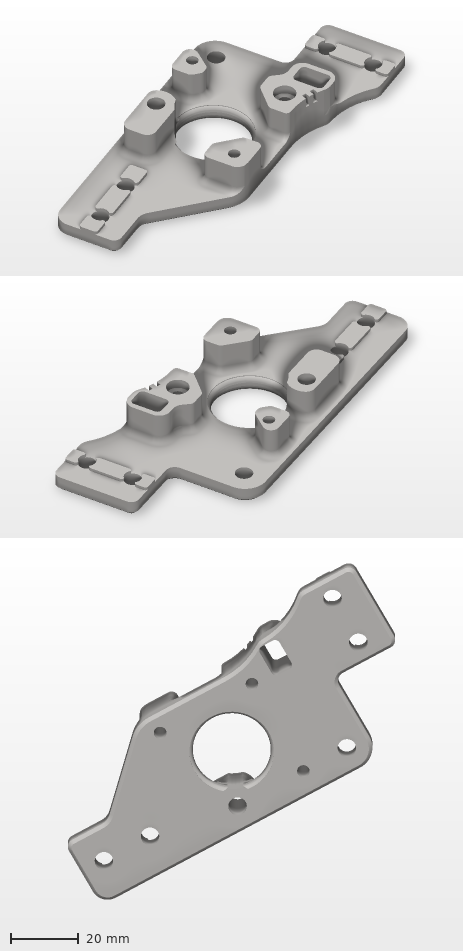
import cadquery as cq
import math

plate_thickness = 5.0
boss_top = 15.0
rib_height = 1.0
bottom_chamfer = 1.0
skirt_radius = 2.1

selection_margin = 0.01

plate_length = 116.0
plate_width = 56.0
plate_left = -23.0
plate_right = plate_left + plate_width
plate_bottom = -57.0
plate_top = plate_bottom + plate_length
shoulder_y = 37.5
body_right = 21.0
top_tab_width = 28.0
top_tab_left = plate_right - top_tab_width
bottom_tab_width = 21.9
bottom_tab_right = plate_left + bottom_tab_width
diagonal_end_y = -20.4
diagonal_start_y = diagonal_end_y - (body_right - bottom_tab_right)

edge_arc_radius = 24.0
lower_arc_start_y = 9.2
bulge_right = 25.8
upper_arc_start_y = 23.9
bulge_corner_radius = 5.0

bottom_left_radius = 5.0
shoulder_radius = 7.0
inner_corner_radius = 3.0
tab_tip_radius = 2.5
diagonal_inner_radius = 5.0
diagonal_outer_radius = 10.0
elbow_radius = 4.0

bore_diameter = 23.0
bore_rim_diameter = 24.9
bore_rim_depth = 0.2
bore_flare_radius = 2.0
screw_pitch = 31.0
screw_offset = screw_pitch / 2
screw_diameter = 3.7
screw_head_diameter = 7.0
screw_head_depth = 3.0

bolt_diameter = 5.5
bolt_pitch = 15.5
corner_bolt = (-screw_offset, 30.2)
boss_bolt = (-screw_offset, -6.7)
top_bolts_x = 11.4
top_bolts_y = 49.1
bottom_bolts_x = -11.0
bottom_bolts_y = -49.3

top_rib_width = 5.6
bottom_rib_width = 6.0
bottom_rib_end_y = -25.3
rib_gap = 3.7
rib_corner_radius = 0.9

left_boss_x = -19.8
motor_boss_inner = 7.7
low_boss_bottom = -20.8
motor_boss_diagonal = 22.2
boss_corner_radius = 2.0
low_boss_edge_radius = 3.5
left_post_bottom = 9.4
left_post_right = -10.1
left_post_peak = 22.7
left_post_slope_y = 14.7
left_post_round = 2.5
long_boss_radius = 6.0
long_boss_bottom = low_boss_bottom
long_boss_corner_radius = 3.0
pocket_boss_left = 11.6
pocket_boss_top = 30.5
pocket_boss_radius = 3.7
pocket_boss_edge_radius = 1.4
pocket_step_y = 23.2
pocket_step_start_y = 20.1

pocket_length = 10.1
pocket_width = 6.6
pocket_center = (19.1, 25.5)
pocket_corner_radius = 1.5

notch_width = 1.4
notch_length = 2.8
notch_depth = 3.4
notch_places = [(23.1, 20.0), (22.0, 17.2)]
notch_angle = -22


def arc_offset(rise):
    """Sideways travel of an edge arc after climbing from its upright tangent."""
    return edge_arc_radius - math.sqrt(edge_arc_radius**2 - rise**2)


def arc_rise(offset):
    """Climb of an edge arc that gives a sideways travel."""
    return math.sqrt(edge_arc_radius**2 - (edge_arc_radius - offset) ** 2)


def round_corner(body, point, radius):
    """Round the upright edge nearest to a corner point."""
    height = body.val().BoundingBox().center.z
    place = (point[0], point[1], height)
    return body.edges("|Z").edges(cq.NearestToPointSelector(place)).fillet(radius)


def rounded_prism(corners, height):
    """Upright prism from (x, y, corner radius) entries; radius 0 stays sharp."""
    points = [(x, y) for x, y, _ in corners]
    body = cq.Workplane("XY").polyline(points).close().extrude(height)
    for x, y, radius in corners:
        if radius:
            body = round_corner(body, (x, y), radius)
    return body


def plate_prism(height):
    """Full plate outline, extruded from the underside."""
    bulge_y = lower_arc_start_y + arc_rise(bulge_right - body_right)
    lower_mid_y = (lower_arc_start_y + bulge_y) / 2
    lower_mid_x = body_right + arc_offset(lower_mid_y - lower_arc_start_y)
    upper_end_y = upper_arc_start_y + arc_rise(plate_right - bulge_right)
    upper_mid_y = (upper_arc_start_y + upper_end_y) / 2
    upper_mid_x = bulge_right + arc_offset(upper_mid_y - upper_arc_start_y)
    body = (
        cq.Workplane("XY")
        .moveTo(plate_left, plate_bottom)
        .lineTo(bottom_tab_right, plate_bottom)
        .lineTo(bottom_tab_right, diagonal_start_y)
        .lineTo(body_right, diagonal_end_y)
        .lineTo(body_right, lower_arc_start_y)
        .threePointArc((lower_mid_x, lower_mid_y), (bulge_right, bulge_y))
        .threePointArc((upper_mid_x, upper_mid_y), (plate_right, upper_end_y))
        .lineTo(plate_right, plate_top)
        .lineTo(top_tab_left, plate_top)
        .lineTo(top_tab_left, shoulder_y)
        .lineTo(plate_left, shoulder_y)
        .close()
        .extrude(height)
    )
    roundings = [
        ((plate_left, plate_bottom), bottom_left_radius),
        ((bottom_tab_right, diagonal_start_y), diagonal_inner_radius),
        ((body_right, diagonal_end_y), diagonal_outer_radius),
        ((bulge_right, bulge_y), bulge_corner_radius),
        ((plate_right, upper_end_y), elbow_radius),
        ((bottom_tab_right, plate_bottom), tab_tip_radius),
        ((plate_right, plate_top), tab_tip_radius),
        ((top_tab_left, plate_top), tab_tip_radius),
        ((top_tab_left, shoulder_y), inner_corner_radius),
        ((plate_left, shoulder_y), shoulder_radius),
    ]
    for point, radius in roundings:
        body = round_corner(body, point, radius)
    return body.faces("<Z").chamfer(bottom_chamfer)


def left_post():
    """Five-sided post around the upper left motor screw."""
    corner_y = motor_boss_diagonal + left_post_right
    return rounded_prism(
        [
            (left_boss_x, left_post_bottom, boss_corner_radius),
            (left_post_bottom - motor_boss_diagonal, left_post_bottom, boss_corner_radius),
            (left_post_right, corner_y, boss_corner_radius),
            (left_post_right, left_post_slope_y, boss_corner_radius),
            (left_boss_x, left_post_peak, left_post_round),
        ],
        boss_top,
    )


def long_boss():
    """Lower left boss with a round end about its bolt."""
    bolt_x, bolt_y = boss_bolt
    right = bolt_x + long_boss_radius
    crown = bolt_y + long_boss_radius
    reach = bolt_x - left_boss_x
    meet_y = bolt_y + math.sqrt(long_boss_radius**2 - reach**2)
    body = (
        cq.Workplane("XY")
        .moveTo(left_boss_x, long_boss_bottom)
        .lineTo(right, long_boss_bottom)
        .lineTo(right, bolt_y)
        .threePointArc((bolt_x, crown), (left_boss_x, meet_y))
        .close()
        .extrude(boss_top)
    )
    corners = [(left_boss_x, long_boss_bottom), (right, long_boss_bottom), (left_boss_x, meet_y)]
    for point in corners:
        body = round_corner(body, point, long_boss_corner_radius)
    return body


def low_right_boss():
    """Lower right motor boss, flush with the right edge."""
    diagonal_reach = motor_boss_diagonal - motor_boss_inner
    return rounded_prism(
        [
            (motor_boss_inner, low_boss_bottom, boss_corner_radius),
            (body_right, low_boss_bottom, low_boss_edge_radius),
            (body_right, -motor_boss_inner, boss_corner_radius),
            (diagonal_reach, -motor_boss_inner, boss_corner_radius),
            (motor_boss_inner, -diagonal_reach, boss_corner_radius),
        ],
        boss_top,
    )


def pocket_boss():
    """Upper right boss holding a motor screw and the pocket."""
    diagonal_reach = motor_boss_diagonal - motor_boss_inner
    side_reach = bulge_right - body_right
    return rounded_prism(
        [
            (diagonal_reach, motor_boss_inner, boss_corner_radius),
            (body_right, motor_boss_inner, pocket_boss_edge_radius),
            (body_right, lower_arc_start_y, 0),
            (bulge_right, lower_arc_start_y + side_reach, 0),
            (bulge_right, pocket_boss_top, pocket_boss_radius),
            (pocket_boss_left, pocket_boss_top, pocket_boss_radius),
            (pocket_boss_left, pocket_step_y, pocket_boss_radius),
            (motor_boss_inner, pocket_step_start_y, boss_corner_radius),
            (motor_boss_inner, diagonal_reach, boss_corner_radius),
        ],
        boss_top,
    )


def add_boss(plate, boss):
    """Join a boss with a curved skirt, kept within the plate outline."""
    slab = cq.Workplane("XY").box(
        2 * plate_length, 2 * plate_length, plate_thickness, centered=(True, True, False)
    )
    foot = cq.selectors.BoxSelector(
        (-plate_length / 2, -plate_length / 2, plate_thickness - selection_margin),
        (plate_length / 2, plate_length / 2, plate_thickness + selection_margin),
    )
    skirted = slab.union(boss).edges(foot).fillet(skirt_radius)
    return plate.union(skirted.intersect(plate_prism(boss_top)))


def rib_segment(length, width):
    """Low rib with rounded ends, lying along X and starting at X = 0."""
    return (
        cq.Workplane("XY")
        .box(length, width, rib_height, centered=(False, True, False))
        .edges("|Z")
        .fillet(rib_corner_radius)
    )


def rib_line(start, first_bolt, end, width):
    """Three rib segments along X, parted at two bolts."""
    second_bolt = first_bolt + bolt_pitch
    half_gap = rib_gap / 2
    spans = [
        (start, first_bolt - half_gap),
        (first_bolt + half_gap, second_bolt - half_gap),
        (second_bolt + half_gap, end),
    ]
    ribs = cq.Workplane("XY")
    for near, far in spans:
        ribs = ribs.add(rib_segment(far - near, width).translate((near, 0, 0)))
    return ribs.combine()


def drill(body, places, diameter):
    """Drill straight through the part."""
    tool = cq.Workplane("XY").pushPoints(places).circle(diameter / 2).extrude(boss_top)
    return body.cut(tool)


def flared_bore():
    """Bore that widens along an arc to a short rim at both faces of the plate."""
    bore = bore_diameter / 2
    rim = bore_rim_diameter / 2
    flare_width = rim - bore
    flare_angle = math.acos(1 - flare_width / bore_flare_radius)
    flare_height = bore_flare_radius * math.sin(flare_angle)
    middle_width = bore_flare_radius * (1 - math.cos(flare_angle / 2))
    middle_height = bore_flare_radius * math.sin(flare_angle / 2)
    low_rim = bore_rim_depth
    low_neck = low_rim + flare_height
    high_rim = plate_thickness - low_rim
    high_neck = plate_thickness - low_neck
    return (
        cq.Workplane("XZ")
        .lineTo(rim, 0)
        .lineTo(rim, low_rim)
        .threePointArc((bore + middle_width, low_neck - middle_height), (bore, low_neck))
        .lineTo(bore, high_neck)
        .threePointArc((bore + middle_width, high_neck + middle_height), (rim, high_rim))
        .lineTo(rim, plate_thickness)
        .lineTo(0, plate_thickness)
        .close()
        .revolve(360, (0, 0, 0), (0, 1, 0))
    )


def top_pocket_cuts():
    """Screw head recess, pocket and notches of the upper right boss."""
    head = (
        cq.Workplane("XY")
        .workplane(offset=boss_top - screw_head_depth)
        .center(screw_offset, screw_offset)
        .circle(screw_head_diameter / 2)
        .extrude(screw_head_depth)
    )
    pocket = (
        cq.Workplane("XY")
        .center(*pocket_center)
        .rect(pocket_length, pocket_width)
        .extrude(boss_top)
        .edges("|Z")
        .fillet(pocket_corner_radius)
    )
    cuts = head.union(pocket)
    for x, y in notch_places:
        notch = cq.Workplane("XY").box(notch_length, notch_width, notch_depth)
        notch = notch.rotate((0, 0, 0), (0, 0, 1), notch_angle)
        cuts = cuts.union(notch.translate((x, y, boss_top - notch_depth / 2)))
    return cuts


body = plate_prism(plate_thickness)
for boss in [left_post(), low_right_boss(), pocket_boss(), long_boss()]:
    body = add_boss(body, boss)
body = body.cut(flared_bore())
body = body.union(long_boss())
body = drill(body, [(0, 0)], bore_diameter)

top_ribs = rib_line(top_tab_left, top_bolts_x, plate_right, top_rib_width)
body = body.union(top_ribs.translate((0, top_bolts_y, plate_thickness)))
bottom_ribs = rib_line(plate_bottom, bottom_bolts_y, bottom_rib_end_y, bottom_rib_width)
bottom_ribs = bottom_ribs.rotate((0, 0, 0), (0, 0, 1), 90)
body = body.union(bottom_ribs.translate((bottom_bolts_x, 0, plate_thickness)))

bolts = [corner_bolt, boss_bolt]
for step in (0, bolt_pitch):
    bolts.append((top_bolts_x + step, top_bolts_y))
    bolts.append((bottom_bolts_x, bottom_bolts_y + step))
body = drill(body, bolts, bolt_diameter)
screws = [
    (-screw_offset, screw_offset),
    (screw_offset, screw_offset),
    (screw_offset, -screw_offset),
]
body = drill(body, screws, screw_diameter)
result = body.cut(top_pocket_cuts())